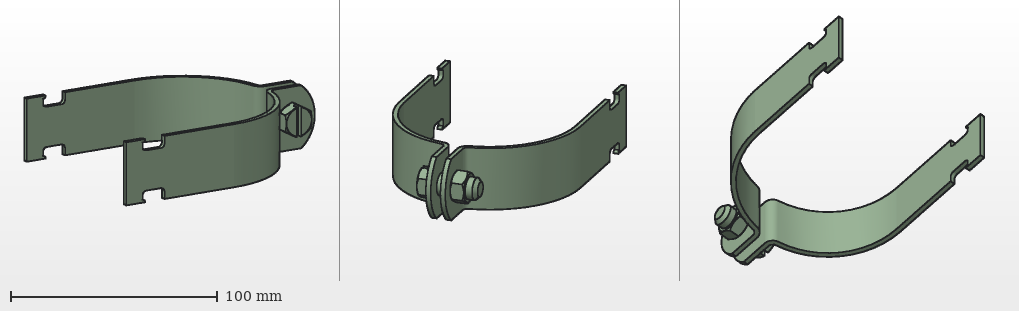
import cadquery as cq
import math


strap_length = 133.3
strap_width = 31.7
strap_thickness = 2.5
clamp_width = 94.0
strap_outer_radius = clamp_width / 2
strap_inner_radius = strap_outer_radius - strap_thickness
strap_centre_y = 61.2
flange_gap = 5.0
flange_end_radius = 20.0
bend_inner_radius = 2.5
bend_outer_radius = bend_inner_radius + strap_thickness

notch_near_y = 9.3
notch_far_y = 21.7
notch_depth = 5.7
notch_corner_radius = 2.0
lip_radius = 1.5

bolt_y = 119.8
bolt_diameter = 11.2
bolt_tip_diameter = 7.5
bolt_tip_length = 2.1
bolt_end_x = -18.0
hex_across_flats = 14.5
hex_height = 7.2
hex_bevel_length = 0.9
hex_bevel_face_diameter = 14.3
slot_width = 2.5
slot_depth = 3.0

flange_inner_x = flange_gap / 2
flange_outer_x = flange_inner_x + strap_thickness


def strap_outline():
    """Edge-on outline of the +X strap half: leg, quarter ring, reverse bend and flange."""
    bend_x = flange_outer_x + bend_inner_radius
    bend_distance = strap_outer_radius + bend_inner_radius
    bend_rise = math.sqrt(bend_distance**2 - bend_x**2)
    bend_y = strap_centre_y + bend_rise
    ring_end_angle = math.atan2(bend_rise, bend_x)
    ring_middle_angle = ring_end_angle / 2
    bend_middle_angle = math.pi + ring_end_angle / 2

    def ring_point(radius, angle):
        return (radius * math.cos(angle), strap_centre_y + radius * math.sin(angle))

    def bend_point(radius, angle):
        return (bend_x + radius * math.cos(angle), bend_y + radius * math.sin(angle))

    return (
        cq.Workplane("XY")
        .moveTo(strap_outer_radius, 0)
        .lineTo(strap_outer_radius, strap_centre_y)
        .threePointArc(
            ring_point(strap_outer_radius, ring_middle_angle),
            ring_point(strap_outer_radius, ring_end_angle),
        )
        .threePointArc(bend_point(bend_inner_radius, bend_middle_angle), (flange_outer_x, bend_y))
        .lineTo(flange_outer_x, strap_length)
        .lineTo(flange_inner_x, strap_length)
        .lineTo(flange_inner_x, bend_y)
        .threePointArc(
            bend_point(bend_outer_radius, bend_middle_angle),
            ring_point(strap_inner_radius, ring_end_angle),
        )
        .threePointArc(
            ring_point(strap_inner_radius, ring_middle_angle),
            (strap_inner_radius, strap_centre_y),
        )
        .lineTo(strap_inner_radius, 0)
        .close()
    )


def rounded_end_block():
    """Block that rounds the flange end and keeps the full strap width elsewhere."""
    half_width = strap_width / 2
    end_rise = flange_end_radius - math.sqrt(flange_end_radius**2 - half_width**2)
    corner_y = strap_length - end_rise
    return (
        cq.Workplane("YZ")
        .moveTo(0, -half_width)
        .lineTo(corner_y, -half_width)
        .threePointArc((strap_length, 0), (corner_y, half_width))
        .lineTo(0, half_width)
        .close()
        .extrude(strap_outer_radius)
    )


def upper_notch():
    """Notch in the upper edge of a leg, leaving a rounded lip at the mouth nearest the leg end."""
    edge_z = strap_width / 2
    floor_z = edge_z - notch_depth
    lip_diagonal = lip_radius / math.sqrt(2)
    return (
        cq.Workplane("YZ")
        .moveTo(notch_near_y + lip_radius, edge_z)
        .threePointArc(
            (notch_near_y + lip_diagonal, edge_z - lip_diagonal),
            (notch_near_y, edge_z - lip_radius),
        )
        .lineTo(notch_near_y, floor_z)
        .lineTo(notch_far_y, floor_z)
        .lineTo(notch_far_y, edge_z)
        .close()
        .extrude(strap_outer_radius)
        .edges("|X")
        .edges("<Z")
        .fillet(notch_corner_radius)
    )


def right_strap():
    """Strap half on the +X side, with its bolt hole."""
    blank = strap_outline().extrude(strap_width / 2, both=True)
    notch = upper_notch()
    hole = cq.Workplane("YZ").center(bolt_y, 0).circle(bolt_diameter / 2).extrude(flange_outer_x)
    return (
        blank.intersect(rounded_end_block())
        .cut(notch)
        .cut(notch.mirror("XY"))
        .cut(hole)
    )


def hexagon(start_x):
    """Hexagonal prism towards +X, with two corners on the vertical and both ends bevelled."""
    across_corners = hex_across_flats / math.cos(math.pi / 6)
    prism = (
        cq.Workplane("YZ", origin=(start_x, bolt_y, 0))
        .transformed(rotate=(0, 0, 90))
        .polygon(6, across_corners)
        .extrude(hex_height)
    )
    face_radius = hex_bevel_face_diameter / 2
    corner_radius = across_corners / 2
    turned_envelope = (
        cq.Workplane("XY", origin=(start_x, bolt_y, 0))
        .moveTo(0, 0)
        .lineTo(0, face_radius)
        .lineTo(hex_bevel_length, corner_radius)
        .lineTo(hex_height - hex_bevel_length, corner_radius)
        .lineTo(hex_height, face_radius)
        .lineTo(hex_height, 0)
        .close()
        .revolve(360, (0, 0, 0), (1, 0, 0))
    )
    return prism.intersect(turned_envelope)


def slotted_bolt():
    """Bolt along X with a tapered tip and a slotted hexagonal head."""
    shank = (
        cq.Workplane("XZ", origin=(0, bolt_y, 0))
        .moveTo(bolt_end_x, 0)
        .lineTo(bolt_end_x, bolt_tip_diameter / 2)
        .lineTo(bolt_end_x + bolt_tip_length, bolt_diameter / 2)
        .lineTo(flange_outer_x, bolt_diameter / 2)
        .lineTo(flange_outer_x, 0)
        .close()
        .revolve(360, (0, 0, 0), (1, 0, 0))
    )
    slot_x = flange_outer_x + hex_height - slot_depth / 2
    slot = cq.Workplane("XY").box(slot_depth, slot_width, strap_width).translate((slot_x, bolt_y, 0))
    return shank.union(hexagon(flange_outer_x)).cut(slot)


def hex_nut():
    """Nut against the outside of the -X flange."""
    start_x = -flange_outer_x - hex_height
    bore = (
        cq.Workplane("YZ", origin=(start_x, bolt_y, 0))
        .circle(bolt_diameter / 2)
        .extrude(hex_height)
    )
    return hexagon(start_x).cut(bore)


strap = right_strap()
straps = [strap, strap.mirror("YZ")]
bolt = slotted_bolt()
nut = hex_nut()

result = cq.Compound.makeCompound([*[half.val() for half in straps], bolt.val(), nut.val()])